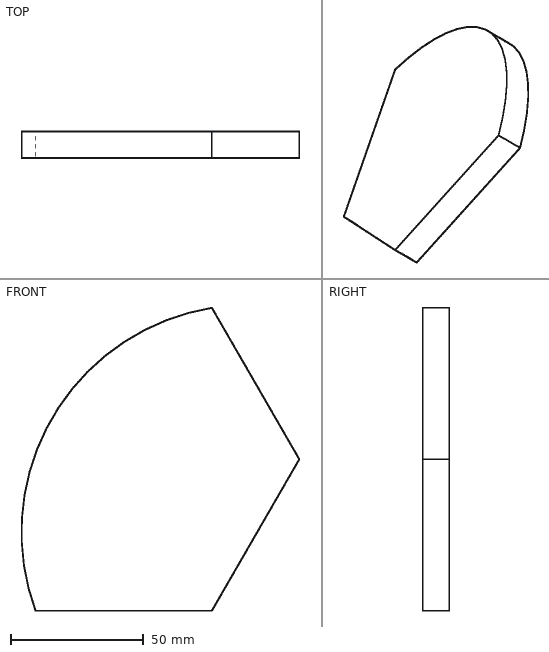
import cadquery as cq
import math

height = 114.0
thickness = 10.0
bottom_length = 66.3
arc_radius = 85.5
edge_angle = 60.0

tip_offset = height / 2 / math.tan(math.radians(edge_angle))

outline = (
    cq.Workplane("XZ")
    .moveTo(-bottom_length, 0)
    .lineTo(0, 0)
    .lineTo(tip_offset, height / 2)
    .lineTo(0, height)
    .radiusArc((-bottom_length, 0), -arc_radius)
    .close()
)

result = outline.extrude(thickness / 2, both=True)